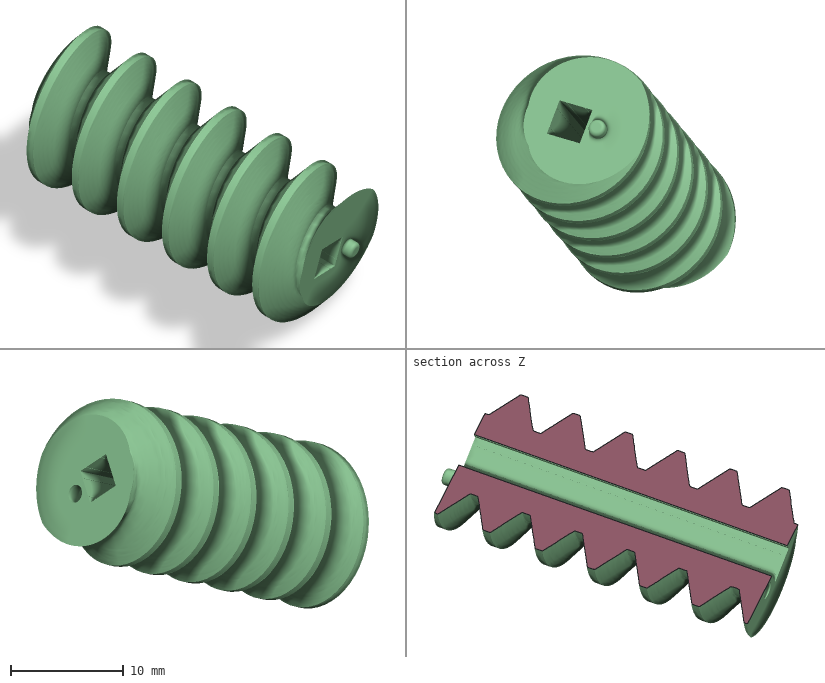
import cadquery as cq
import math

turns = 6
worm_length = 30.38
pitch = worm_length / turns
crest_radius = 7.35
root_radius = 4.25
flank_angle = 30.0
crest_width = 0.73
flank_width = (crest_radius - root_radius) * math.tan(math.radians(flank_angle))

key_angle = 21.0
square_side = 3.25
rib_offset = 0.93
rib_width = 0.1
rib_height = 0.03

key_offset = 2.9
key_hole_diameter = 1.6
key_hole_depth = 1.3
pin_diameter = 1.55
pin_length = 1.0
pin_tip_fillet = 0.34

start_plane = cq.Plane(origin=(0, 0, 0), xDir=(0, 1, 0), normal=(1, 0, 0))
end_plane = cq.Plane(origin=(worm_length, 0, 0), xDir=(0, 1, 0), normal=(1, 0, 0))


def polar_point(radius, angle):
    return (radius * math.cos(angle), radius * math.sin(angle))


key_point = polar_point(key_offset, -math.radians(key_angle))


def make_worm():
    """Twist the constant cross-section of the thread along the axis."""
    radians_per_mm = 2 * math.pi / pitch
    crest_half = radians_per_mm * crest_width / 2
    flank_span = radians_per_mm * flank_width
    root_start = crest_half + flank_span

    def flank_point(t):
        radius = crest_radius + t * (root_radius - crest_radius)
        return polar_point(radius, crest_half + t * flank_span)

    def mirrored_flank_point(t):
        y, z = flank_point(1 - t)
        return (y, -z)

    section = (
        cq.Workplane(start_plane)
        .moveTo(*polar_point(crest_radius, -crest_half))
        .threePointArc((crest_radius, 0), polar_point(crest_radius, crest_half))
        .parametricCurve(flank_point, makeWire=False)
        .moveTo(*polar_point(root_radius, root_start))
        .threePointArc((-root_radius, 0), polar_point(root_radius, -root_start))
        .parametricCurve(mirrored_flank_point, makeWire=False)
        .wire()
    )
    return section.twistExtrude(worm_length, 360 * turns)


def make_square_hole():
    """Core of the drive hole; its ribs are notches in the four sides."""
    half_side = square_side / 2
    notched_half = half_side - rib_height
    wall = [(half_side, -half_side)]
    for rib_center in (-rib_offset, rib_offset):
        rib_start = rib_center - rib_width / 2
        rib_end = rib_center + rib_width / 2
        wall += [
            (half_side, rib_start),
            (notched_half, rib_start),
            (notched_half, rib_end),
            (half_side, rib_end),
        ]

    outline = []
    for side in range(4):
        turn = math.radians(90 * side - key_angle)
        for u, v in wall:
            outline.append(
                (
                    u * math.cos(turn) - v * math.sin(turn),
                    u * math.sin(turn) + v * math.cos(turn),
                )
            )
    return cq.Workplane(start_plane).polyline(outline).close().extrude(worm_length)


def make_key_hole():
    """Core of the blind key hole."""
    return (
        cq.Workplane(start_plane)
        .center(*key_point)
        .circle(key_hole_diameter / 2)
        .extrude(key_hole_depth)
    )


def make_pin():
    return (
        cq.Workplane(end_plane)
        .center(*key_point)
        .circle(pin_diameter / 2)
        .extrude(pin_length)
        .faces(">X")
        .fillet(pin_tip_fillet)
    )


def end_face(body, selector, openings):
    """End face of the body with the outlines of the given faces left open."""
    outer = body.faces(selector).val().outerWire()
    return cq.Face.makeFromWires(outer, [face.outerWire() for face in openings])


def assemble_part():
    """Sew the part's skin into one solid: far faster than cutting the long helical faces."""
    worm = make_worm()
    square_hole = make_square_hole()
    key_hole = make_key_hole()
    pin = make_pin()

    start_openings = [square_hole.faces("<X").val(), key_hole.faces("<X").val()]
    end_openings = [square_hole.faces(">X").val(), pin.faces("<X").val()]
    skin = [
        *worm.faces("not %PLANE").vals(),
        end_face(worm, "<X", start_openings),
        end_face(worm, ">X", end_openings),
        *square_hole.faces("#X").vals(),
        *key_hole.faces("not <X").vals(),
        *pin.faces("not <X").vals(),
    ]
    return cq.Solid.makeSolid(cq.Shell.makeShell(skin))


result = cq.Workplane(assemble_part())